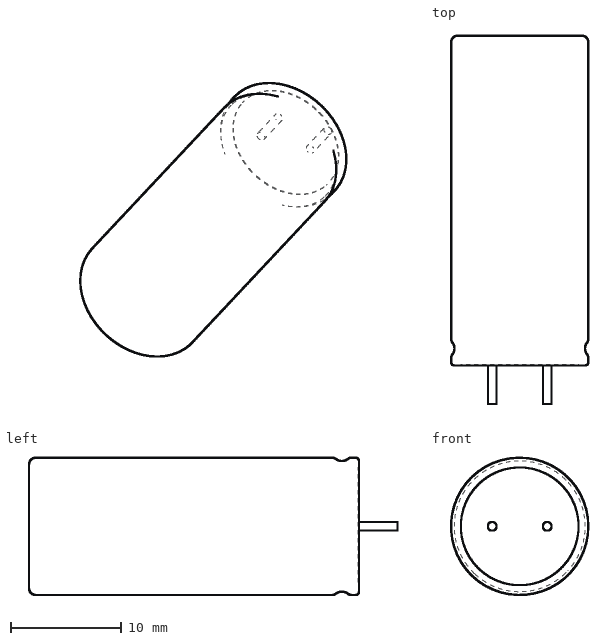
import cadquery as cq
import math

CAN_DIAMETER = 12.5
CAN_LENGTH = 30.0
BACK_EDGE_RADIUS = CAN_DIAMETER / 20
FRONT_EDGE_RADIUS = BACK_EDGE_RADIUS / 2

BEAD_CENTER = 1.56
BEAD_DEPTH = 0.3
BEAD_HALF_WIDTH = 0.86
BEAD_ARC_HALF_WIDTH = 0.56

SEAL_DIAMETER = 10.71
SEAL_RECESS = 0.1

LEAD_DIAMETER = 0.8
LEAD_PITCH = 5.0
LEAD_LENGTH = 3.5

can_radius = CAN_DIAMETER / 2

bead_angle = 2 * math.atan(BEAD_DEPTH / BEAD_HALF_WIDTH)
bead_radius = BEAD_ARC_HALF_WIDTH / math.sin(bead_angle)
blend_radius = (BEAD_HALF_WIDTH - BEAD_ARC_HALF_WIDTH) / math.sin(bead_angle)
blend_drop = blend_radius * (1 - math.cos(bead_angle))


def make_can():
    """Revolve the solid can, with its rounded ends and crimp bead, about Y."""
    blend_end_radius = can_radius - blend_drop
    return (
        cq.Workplane("XY")
        .lineTo(can_radius - FRONT_EDGE_RADIUS, 0)
        .radiusArc((can_radius, FRONT_EDGE_RADIUS), -FRONT_EDGE_RADIUS)
        .lineTo(can_radius, BEAD_CENTER - BEAD_HALF_WIDTH)
        .radiusArc((blend_end_radius, BEAD_CENTER - BEAD_ARC_HALF_WIDTH), -blend_radius)
        .radiusArc((blend_end_radius, BEAD_CENTER + BEAD_ARC_HALF_WIDTH), bead_radius)
        .radiusArc((can_radius, BEAD_CENTER + BEAD_HALF_WIDTH), -blend_radius)
        .lineTo(can_radius, CAN_LENGTH - BACK_EDGE_RADIUS)
        .radiusArc((can_radius - BACK_EDGE_RADIUS, CAN_LENGTH), -BACK_EDGE_RADIUS)
        .lineTo(0, CAN_LENGTH)
        .close()
        .revolve(360, (0, 0, 0), (0, 1, 0))
    )


def cylinder_along_y(diameter, start, end, x=0):
    """Cylinder parallel to Y, from Y = start to Y = end."""
    return cq.Workplane("XZ", origin=(x, start, 0)).circle(diameter / 2).extrude(start - end)


result = make_can().cut(cylinder_along_y(SEAL_DIAMETER, 0, SEAL_RECESS))
for lead_x in (-LEAD_PITCH / 2, LEAD_PITCH / 2):
    result = result.union(cylinder_along_y(LEAD_DIAMETER, -LEAD_LENGTH, SEAL_RECESS, lead_x))